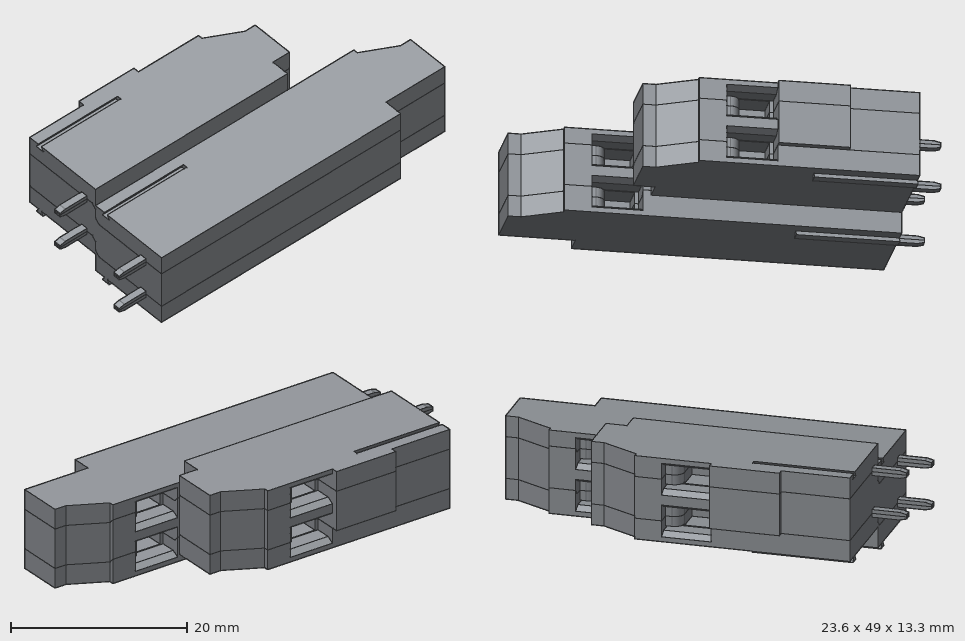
import cadquery as cq


OVERALL_WIDTH = 23.55
OVERALL_LENGTH = 49.0
OVERALL_HEIGHT = 13.3

TAB_DEPTH = 0.8
COLUMN_WIDTH = (OVERALL_WIDTH - TAB_DEPTH) / 2
PIN_LENGTH = 4.05
LONG_COLUMN_LENGTH = OVERALL_LENGTH - PIN_LENGTH
SHORT_COLUMN_LENGTH = 31.45
LONG_SHOULDER_DROP = 8.85
SHORT_SHOULDER_DROP = 2.5
NOSE_START = 2.95
NOSE_END = 8.85
NOSE_SIDE_DROP = 1.5
SLOPE_END_DROP = 6.0
SLOPE_LEDGE = 0.6

TENON_HEIGHT = 0.6
HALF_LAYER = (OVERALL_HEIGHT - TENON_HEIGHT) / 5
COLUMN_HEIGHT = 4 * HALF_LAYER
JOINT_HEIGHTS = (HALF_LAYER, 3 * HALF_LAYER)
STEP = HALF_LAYER
JOINT_CHAMFER = 0.6

SHORT_COLUMN = (-COLUMN_WIDTH, STEP, SHORT_COLUMN_LENGTH, SHORT_SHOULDER_DROP, 9.45)
LONG_COLUMN = (0.0, 0.0, LONG_COLUMN_LENGTH, LONG_SHOULDER_DROP, 8.3)

DOVETAIL_OFFSET = 1.75
DOVETAIL_NECK = 0.55
DOVETAIL_BASE = 1.2
DOVETAIL_LENGTH = 11.95

WINDOW_DROP = 9.15
WINDOW_LENGTH = 5.9
MOUTH_HEIGHT = 3.85
THROAT_HEIGHT = 2.9
MOUTH_DEPTH = 0.9
GUIDE_HEIGHT = 2.4
GUIDE_DEPTH = 1.65
GUIDE_LENGTH = 1.9
GUIDE_RADIUS = 1.2
THROAT_DEPTH = GUIDE_DEPTH + GUIDE_RADIUS
WIRE_HOLE_HEIGHT = 2.7
WIRE_HOLE_MARGIN = 0.45
WIRE_HOLE_DEPTH = 2.95

TAB_LENGTH = 8.3
TAB_TOP = SHORT_COLUMN_LENGTH - WINDOW_DROP - WINDOW_LENGTH

PIN_SIZE = 0.95
PIN_TIP_LENGTH = 0.8
PIN_TIP_HEIGHT = 0.55


def box(x_range, y_range, z_range):
    """Box between two limits along each axis."""
    limits = (x_range, y_range, z_range)
    sizes = [high - low for low, high in limits]
    corner = tuple(low for low, high in limits)
    return cq.Workplane("XY").box(*sizes, centered=False).translate(corner)


def column_block(left, bottom, length, shoulder_drop):
    """Column outline with a sloped nose and a back shoulder, extruded upward."""
    right = left + COLUMN_WIDTH
    return (
        cq.Workplane("XY", origin=(0, 0, bottom))
        .moveTo(left, 0)
        .lineTo(right, 0)
        .lineTo(right, length - shoulder_drop)
        .lineTo(left + NOSE_END, length - shoulder_drop)
        .lineTo(left + NOSE_END, length)
        .lineTo(left + NOSE_START, length)
        .lineTo(left + NOSE_START, length - NOSE_SIDE_DROP)
        .lineTo(left + SLOPE_LEDGE, length - SLOPE_END_DROP)
        .lineTo(left, length - SLOPE_END_DROP)
        .close()
        .extrude(COLUMN_HEIGHT)
    )


def side_tab():
    """Raised tab on the side of the short column, from its lower joint to its top."""
    return box(
        (-COLUMN_WIDTH - TAB_DEPTH, -COLUMN_WIDTH),
        (TAB_TOP - TAB_LENGTH, TAB_TOP),
        (STEP + JOINT_HEIGHTS[0], STEP + COLUMN_HEIGHT),
    )


def dovetail(left, top):
    """Dovetail bar that widens downward from its neck at the given height."""
    center = left + DOVETAIL_OFFSET
    bottom = top - TENON_HEIGHT
    return (
        cq.Workplane("XZ", origin=(center, 0, 0))
        .moveTo(-DOVETAIL_NECK / 2, top)
        .lineTo(DOVETAIL_NECK / 2, top)
        .lineTo(DOVETAIL_BASE / 2, bottom)
        .lineTo(-DOVETAIL_BASE / 2, bottom)
        .close()
        .extrude(-DOVETAIL_LENGTH)
    )


def window(left, length, joint):
    """Space of one wire entry: flared mouth, throat around a rounded guide, and wire hole."""
    window_top = length - WINDOW_DROP
    window_bottom = window_top - WINDOW_LENGTH
    throat_end = left + THROAT_DEPTH
    space = (
        cq.Workplane("XZ")
        .moveTo(left, joint - MOUTH_HEIGHT / 2)
        .lineTo(left + MOUTH_DEPTH, joint - THROAT_HEIGHT / 2)
        .lineTo(throat_end, joint - THROAT_HEIGHT / 2)
        .lineTo(throat_end, joint + THROAT_HEIGHT / 2)
        .lineTo(left + MOUTH_DEPTH, joint + THROAT_HEIGHT / 2)
        .lineTo(left, joint + MOUTH_HEIGHT / 2)
        .close()
        .extrude(-WINDOW_LENGTH)
        .translate((0, window_bottom, 0))
    )
    guide_front = left + GUIDE_DEPTH
    guide_bottom = window_top - GUIDE_LENGTH
    guide = (
        cq.Workplane("XY", origin=(0, 0, joint - GUIDE_HEIGHT / 2))
        .moveTo(guide_front, window_top)
        .lineTo(guide_front, guide_bottom + GUIDE_RADIUS)
        .radiusArc((throat_end, guide_bottom), -GUIDE_RADIUS)
        .lineTo(throat_end, window_top)
        .close()
        .extrude(GUIDE_HEIGHT)
    )
    wire_hole = box(
        (throat_end, throat_end + WIRE_HOLE_DEPTH),
        (window_bottom + WIRE_HOLE_MARGIN, guide_bottom),
        (joint - WIRE_HOLE_HEIGHT / 2, joint + WIRE_HOLE_HEIGHT / 2),
    )
    return space.cut(guide).union(wire_hole)


def pin(center, joint):
    """Square pin with a tip that tapers in height."""
    half = PIN_SIZE / 2
    half_tip = PIN_TIP_HEIGHT / 2
    taper_start = PIN_TIP_LENGTH - PIN_LENGTH
    return (
        cq.Workplane("YZ", origin=(center - half, 0, joint))
        .moveTo(0, -half)
        .lineTo(0, half)
        .lineTo(taper_start, half)
        .lineTo(-PIN_LENGTH, half_tip)
        .lineTo(-PIN_LENGTH, -half_tip)
        .lineTo(taper_start, -half)
        .close()
        .extrude(PIN_SIZE)
    )


def terminal_block():
    """Complete shape of the stacked layers, before it is divided at the joints."""
    block = side_tab()
    for left, bottom, length, shoulder_drop, pin_offset in (SHORT_COLUMN, LONG_COLUMN):
        block = block.union(column_block(left, bottom, length, shoulder_drop))
        block = block.union(dovetail(left, bottom))
        block = block.cut(dovetail(left, bottom + COLUMN_HEIGHT))
        for joint_height in JOINT_HEIGHTS:
            joint = bottom + joint_height
            block = block.cut(window(left, length, joint))
            block = block.union(pin(left + pin_offset, joint))
    return block


def space_above(joint):
    """Space above a stepped joint, given the joint's height in the long column."""
    reach = OVERALL_LENGTH
    return (
        cq.Workplane("XZ", origin=(0, -reach, 0))
        .moveTo(-reach, joint + STEP)
        .lineTo(-JOINT_CHAMFER, joint + STEP)
        .lineTo(0, joint + STEP - JOINT_CHAMFER)
        .lineTo(0, joint + JOINT_CHAMFER)
        .lineTo(JOINT_CHAMFER, joint)
        .lineTo(reach, joint)
        .lineTo(reach, reach)
        .lineTo(-reach, reach)
        .close()
        .extrude(-2 * reach)
    )


block = terminal_block()
above_lower_joint, above_upper_joint = [space_above(joint) for joint in JOINT_HEIGHTS]

bottom_layer = block.cut(above_lower_joint).solids()
middle_layer = block.intersect(above_lower_joint).cut(above_upper_joint).solids()
top_layer = block.intersect(above_upper_joint).solids()

result = cq.Compound.makeCompound([bottom_layer.val(), middle_layer.val(), top_layer.val()])